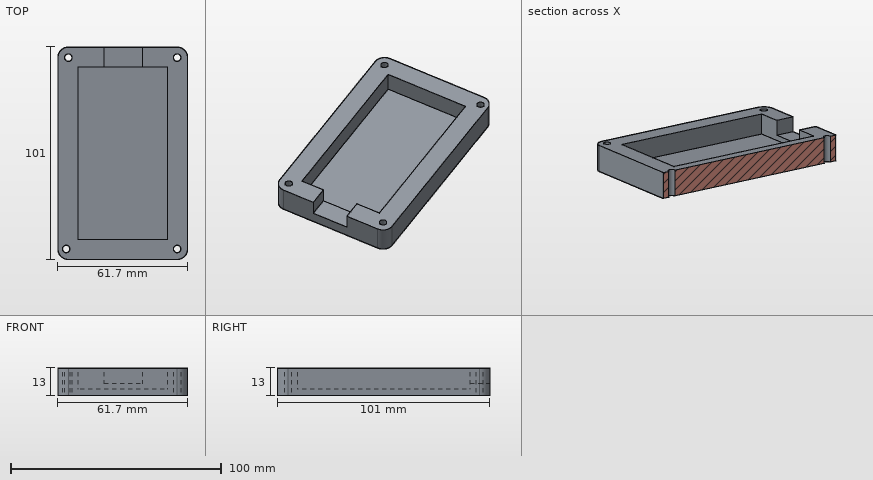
import cadquery as cq

length = 101.0
width = 61.7
height = 13.0
corner_radius = 5.1

pocket_width = 42.4
pocket_length = 81.8
pocket_depth = 10.0

notch_width = 18.4
notch_offset = 0.3
notch_depth = 7.4

hole_diameter = 3.4
hole_x = 25.9
hole_y = 45.5
outlying_hole_x = 26.9
hole_centers = [
    (-hole_x, hole_y),
    (hole_x, hole_y),
    (hole_x, -hole_y),
    (-outlying_hole_x, -hole_y),
]


def make_block():
    """Plate with rounded vertical corners, standing on Z = 0."""
    block = cq.Workplane("XY").box(width, length, height, centered=(True, True, False))
    return block.edges("|Z").fillet(corner_radius)


def cut_pocket(body):
    return body.faces(">Z").workplane().rect(pocket_width, pocket_length).cutBlind(-pocket_depth)


def cut_notch(body):
    """Open the +Y wall from the pocket to the outside."""
    wall_thickness = (length - pocket_length) / 2
    notch = (
        cq.Workplane("XY")
        .box(notch_width, wall_thickness, notch_depth, centered=(True, False, False))
        .translate((notch_offset, pocket_length / 2, height - notch_depth))
    )
    return body.cut(notch)


def drill_holes(body):
    holes = (
        cq.Workplane("XY")
        .pushPoints(hole_centers)
        .circle(hole_diameter / 2)
        .extrude(height)
    )
    return body.cut(holes)


result = drill_holes(cut_notch(cut_pocket(make_block())))